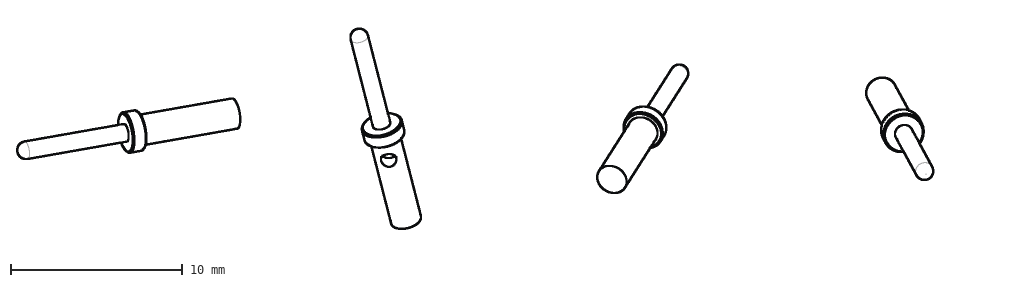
import cadquery as cq

total_length = 13.65
tip_y = -total_length / 2
end_y = total_length / 2

barrel_diameter = 1.8
barrel_length = 6.0
collar_diameter = 2.4
collar_width = 0.87
collar_chamfer = 0.08
pin_diameter = 1.05
tip_length = 0.52

hole_diameter = 0.9
hole_depth = barrel_diameter / 2
hole_to_collar = 1.1

collar_back_y = end_y - barrel_length
collar_front_y = collar_back_y - collar_width


def cylinder_along_y(diameter, start_y, stop_y):
    """Cylinder on the Y axis between two Y positions."""
    plane = cq.Workplane("XZ", origin=(0, stop_y, 0))
    return plane.circle(diameter / 2).extrude(stop_y - start_y)


barrel = cylinder_along_y(barrel_diameter, collar_back_y, end_y)

collar = cylinder_along_y(collar_diameter, collar_front_y, collar_back_y)
collar = collar.edges("%CIRCLE").chamfer(collar_chamfer)

pin = cylinder_along_y(pin_diameter, tip_y, collar_front_y)
pin = pin.faces("<Y").edges().fillet(tip_length)

hole_y = collar_back_y + hole_to_collar
inspection_hole = (
    cq.Workplane("XY", origin=(0, hole_y, -barrel_diameter / 2))
    .circle(hole_diameter / 2)
    .extrude(hole_depth)
)

result = barrel.union(collar).union(pin).cut(inspection_hole)